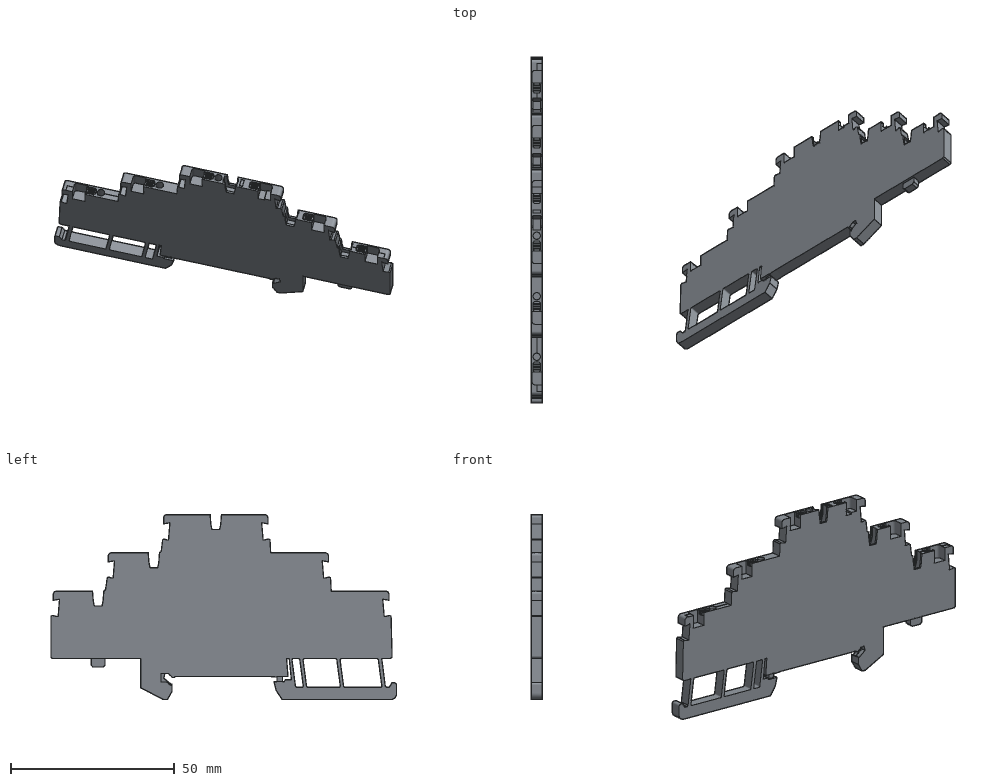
import cadquery as cq

THICKNESS = 3.5
HALF_LENGTH = 52.8
HEIGHT = 56.5
TIER_TOPS = [33.2, 44.9, HEIGHT]
BACK_TIPS = [52.1, 35.3, 18.4]
FRONT_TIPS = [-50.5, -32.0, -13.5]
BODY_BOTTOM = 12.6
BASE_BOTTOM = 7.1
FRONT_WALL = -51.5
EDGE_CHAMFER = 0.4
LOWER_CORNER_RADIUS = 0.7
BACK, FRONT = 1, -1

NOSE_RADIUS = 1.1
NOSE_HEIGHT = 2.9
NECK_TOP = 1.9
NECK_FOOT = 1.5
NECK_TOP_DROP = 2.5
NECK_FOOT_DROP = 7.7
SHOULDER_CHAMFER = 0.4
SHOULDER_DROP = 7.4
SHOULDER_REACH = 0.6
BACK_UPPER_SHOULDER_REACH = 0.3
TIER_WALL_LEAN = 0.2

GAP_EDGES = [40.1, 23.0, 4.1]
GAP_WIDTH = 3.4
GAP_STEP_DROP = 2.9
GAP_DEPTH = 4.5
GAP_UPPER_TAPER = 0.2
GAP_FLOOR_INSET = 0.5

PIT_LENGTH = 4.4
PIT_WIDTH = 2.2
PIT_DEPTH = 1.6
PIT_BACK_TAPER = 1.1
PIT_FRONT_TAPERS = [1.0, 1.0, 0]
PIT_OVERLAP = 0.3

ENTRY_START = 3.3
ENTRY_LENGTH = 3.9
ENTRY_DEPTH = 4.2
ENTRY_WALL = 0.3
ENTRY_CORNER = 0.8
LEDGE_LENGTH = 1.9
LEDGE_HEIGHT = 0.5
CLAMP_LENGTH = 3.1
CLAMP_WIDTH = 2.2
CLAMP_DEPTH = 1.3
CLAMP_CORNER = 0.4
RIB_COUNT = 3
RIB_WIDTH = 0.3
RIB_HEIGHT = 0.8
TEST_HOLE_OFFSET = 11.8
TEST_HOLE_DIAMETER = 2.2
TEST_HOLE_DEPTH = 4.2

RELIEF_START_X = 0.1
RELIEF_DEPTH = 0.1
RELIEF_TIP_OFFSET = 1.3

GROOVE_CENTRE = 5.7
GROOVE_LENGTH = 1.0
GROOVE_DEPTH = 0.2

TAB_CENTRE = 38.4
TAB_LENGTH = 4.3
TAB_WIDTH = 2.2
TAB_DROP = 2.6
TAB_CHAMFER = 0.6

RAIL_POCKET_DEPTH = THICKNESS / 2
WINDOW_FLOOR = 3.8
WINDOW_LEAN = 1.2
WINDOW_CORNER = 0.4
WINDOWS = [(-20.8, 2.3), (-24.2, 10.3), (-35.5, 11.6)]
STEM_CENTRE = -17.1
STEM_LENGTH = 1.8
STEM_WIDTH = 2.2
LATCH_TOP = 5.5
GRIP_TOP = 5.2
GRIP_TOP_RADIUS = 0.7
GRIP_BOTTOM_RADIUS = 1.9


def tier_end(tip, top, side, reach):
    """Hook points from the tier top down to the shoulder."""
    profile = [
        (0, 0),
        (0, -NOSE_HEIGHT),
        (NECK_TOP, -NECK_TOP_DROP),
        (NECK_FOOT, -NECK_FOOT_DROP),
        (NECK_FOOT - SHOULDER_CHAMFER, -NECK_FOOT_DROP),
        (-reach + SHOULDER_CHAMFER, -SHOULDER_DROP),
        (-reach, -NECK_FOOT_DROP),
    ]
    return [(tip - side * inward, top + rise) for inward, rise in profile]


def bridge_gap(edge, top):
    """Stepped gap from its +Y rim to its -Y rim."""
    far = edge - GAP_WIDTH
    step_z = top - GAP_STEP_DROP
    floor_z = top - GAP_DEPTH
    return [
        (edge, top),
        (edge - GAP_UPPER_TAPER, step_z),
        (edge - GAP_FLOOR_INSET, floor_z),
        (far + GAP_FLOOR_INSET, floor_z),
        (far + GAP_UPPER_TAPER, step_z),
        (far, top),
    ]


def back_outline():
    """Staircase on the +Y side, from the lowest corner up to the top tier."""
    points = [(HALF_LENGTH - EDGE_CHAMFER, BODY_BOTTOM), (HALF_LENGTH, BODY_BOTTOM + EDGE_CHAMFER)]
    reaches = [HALF_LENGTH - BACK_TIPS[0], BACK_UPPER_SHOULDER_REACH, BACK_UPPER_SHOULDER_REACH]
    for tip, top, reach, edge in zip(BACK_TIPS, TIER_TOPS, reaches, GAP_EDGES):
        points += reversed(tier_end(tip, top, BACK, reach))
        points += bridge_gap(edge, top)
        if top < HEIGHT:
            points.append((edge - GAP_WIDTH - GAP_FLOOR_INSET, top + EDGE_CHAMFER))
    return points


def step_root(tip):
    """Y of the inner corner at the foot of a -Y tier wall."""
    return tip - SHOULDER_REACH - TIER_WALL_LEAN


def front_outline():
    """Staircase on the -Y side, from the top tier down to the lowest corner."""
    points = []
    for tier in reversed(range(len(TIER_TOPS))):
        tip = FRONT_TIPS[tier]
        points += tier_end(tip, TIER_TOPS[tier], FRONT, SHOULDER_REACH)
        if tier > 0:
            points.append((step_root(tip), TIER_TOPS[tier - 1]))
    points.append((FRONT_WALL, BODY_BOTTOM))
    return points


LATCH_OUTLINE = [
    (-48.3, BODY_BOTTOM),
    (-49.4, WINDOW_FLOOR + WINDOW_CORNER),
    (-49.7, WINDOW_FLOOR),
    (-50.5, WINDOW_FLOOR),
    (-51.4, GRIP_TOP),
    (-HALF_LENGTH, GRIP_TOP),
    (-HALF_LENGTH, 0),
    (-17.9, 0),
    (-16.0, 2.9),
    (-15.3, LATCH_TOP),
    (-18.4, LATCH_TOP),
    (-18.8, 6.1),
    (-20.6, 6.1),
    (-20.0, BODY_BOTTOM),
    (-19.2, BODY_BOTTOM),
    (-19.7, BASE_BOTTOM),
]

CLAW_OUTLINE = [
    (-16.3, BASE_BOTTOM),
    (-16.3, 6.9),
    (-13.7, BASE_BOTTOM),
    (14.8, BASE_BOTTOM),
    (15.0, 6.8),
    (15.6, 6.8),
    (16.9, 7.9),
    (18.0, 7.9),
    (18.3, 6.5),
    (16.1, 4.8),
    (15.7, 4.9),
    (15.7, 2.5),
    (17.2, 0),
    (18.4, 0),
    (25.4, 3.6),
    (25.4, BODY_BOTTOM),
]

RAIL_POCKET = [(19.1, 7.9), (19.1, 5.4), (17.4, 5.4), (16.2, 4.3), (15.7, 4.9), (17.9, 7.9)]


def extrude_profile(points, start_x, depth):
    return cq.Workplane("YZ", origin=(start_x, 0, 0)).polyline(points).close().extrude(depth)


def box(x_range, y_range, z_range):
    """Box between two X, two Y and two Z positions."""
    spans = [high - low for low, high in (x_range, y_range, z_range)]
    corner = (x_range[0], y_range[0], z_range[0])
    return cq.Workplane("XY").box(*spans, centered=False).translate(corner)


def inward_range(tip, side, start, length):
    """Ordered Y range of a feature placed inward from a tier tip."""
    near = tip - side * start
    return sorted((near, near - side * length))


def centred(middle, span):
    return (middle - span / 2, middle + span / 2)


def wire_entry(tip, top, side):
    """Wire entry, open at the top and on the +X face."""
    x_range = (-THICKNESS / 2 + ENTRY_WALL, THICKNESS)
    entry = box(x_range, inward_range(tip, side, ENTRY_START, ENTRY_LENGTH), (top - ENTRY_DEPTH, top))
    outer_edge = "|Z and <X and >Y" if side == BACK else "|Z and <X and <Y"
    return entry.edges(outer_edge).fillet(ENTRY_CORNER)


def clamp_recess(tip, top, side):
    """Clamp recess with cross ribs left standing on its floor."""
    floor_z = top - CLAMP_DEPTH
    low, high = inward_range(tip, side, ENTRY_START + ENTRY_LENGTH, CLAMP_LENGTH)
    x_range = centred(0, CLAMP_WIDTH)
    recess = box(x_range, (low, high), (floor_z, top)).edges("|Z").chamfer(CLAMP_CORNER)
    rib_pitch = CLAMP_LENGTH / (RIB_COUNT + 1)
    for index in range(RIB_COUNT):
        middle = low + rib_pitch * (index + 1)
        recess = recess.cut(box(x_range, centred(middle, RIB_WIDTH), (floor_z, floor_z + RIB_HEIGHT)))
    return recess


def test_hole(tip, top):
    hole_y = tip + TEST_HOLE_OFFSET
    return (
        cq.Workplane("XY", origin=(0, hole_y, top - TEST_HOLE_DEPTH))
        .circle(TEST_HOLE_DIAMETER / 2)
        .extrude(TEST_HOLE_DEPTH)
    )


def bridge_pit(edge, top, front_taper):
    """Pit with upright upper walls and a tapered lower part."""
    high = edge + PIT_OVERLAP
    low = high - PIT_LENGTH
    taper_z = top - GAP_STEP_DROP
    floor_z = top - GAP_DEPTH - PIT_DEPTH
    profile = [
        (high, top),
        (high, taper_z),
        (high - PIT_BACK_TAPER, floor_z),
        (low + front_taper, floor_z),
        (low, taper_z),
        (low, top),
    ]
    return extrude_profile(profile, -PIT_WIDTH / 2, PIT_WIDTH)


def foot_window(edge, length):
    """Leaning window between the legs of the latch foot."""
    corners = [
        (edge, BODY_BOTTOM),
        (edge - length, BODY_BOTTOM),
        (edge - length - WINDOW_LEAN, WINDOW_FLOOR),
        (edge - WINDOW_LEAN, WINDOW_FLOOR),
    ]
    return extrude_profile(corners, -THICKNESS / 2, THICKNESS).edges("|X").fillet(WINDOW_CORNER)


outline = back_outline() + front_outline() + LATCH_OUTLINE + CLAW_OUTLINE
body = extrude_profile(outline, -THICKNESS / 2, THICKNESS)

rounded_corners = [(tip, top, NOSE_RADIUS) for tip, top in zip(BACK_TIPS + FRONT_TIPS, TIER_TOPS * 2)]
rounded_corners += [
    (FRONT_WALL, BODY_BOTTOM, LOWER_CORNER_RADIUS),
    (-HALF_LENGTH, GRIP_TOP, GRIP_TOP_RADIUS),
    (-HALF_LENGTH, 0, GRIP_BOTTOM_RADIUS),
]
for corner_y, corner_z, radius in rounded_corners:
    corner_edge = cq.selectors.NearestToPointSelector((0, corner_y, corner_z))
    body = body.edges(corner_edge).fillet(radius)

for window_edge, window_length in WINDOWS:
    body = body.cut(foot_window(window_edge, window_length))
body = body.cut(extrude_profile(RAIL_POCKET, -THICKNESS / 2, RAIL_POCKET_DEPTH))
stem = box(centred(0, STEM_WIDTH), centred(STEM_CENTRE, STEM_LENGTH), (LATCH_TOP, BASE_BOTTOM))
body = body.union(stem)

tab = box(centred(0, TAB_WIDTH), centred(TAB_CENTRE, TAB_LENGTH), (BODY_BOTTOM - TAB_DROP, BODY_BOTTOM))
body = body.union(tab.edges("|X and <Z").chamfer(TAB_CHAMFER))

relief_ranges = [
    (GAP_EDGES[0] - GAP_WIDTH, BACK_TIPS[0] - RELIEF_TIP_OFFSET),
    (FRONT_TIPS[0] + RELIEF_TIP_OFFSET, step_root(FRONT_TIPS[1])),
]
for relief_range in relief_ranges:
    relief_z = (TIER_TOPS[0] - RELIEF_DEPTH, TIER_TOPS[0])
    body = body.cut(box((RELIEF_START_X, THICKNESS / 2), relief_range, relief_z))

for tips, end_side in ((BACK_TIPS, BACK), (FRONT_TIPS, FRONT)):
    for tier_tip, tier_top in zip(tips, TIER_TOPS):
        body = body.cut(wire_entry(tier_tip, tier_top, end_side))
        body = body.cut(clamp_recess(tier_tip, tier_top, end_side))
for tier_tip, tier_top in zip(FRONT_TIPS, TIER_TOPS):
    body = body.cut(test_hole(tier_tip, tier_top))
for gap_edge, tier_top, pit_taper in zip(GAP_EDGES, TIER_TOPS, PIT_FRONT_TAPERS):
    body = body.cut(bridge_pit(gap_edge, tier_top, pit_taper))

ledge_z = HEIGHT - ENTRY_DEPTH
ledge = box(
    (-THICKNESS / 2, THICKNESS / 2),
    inward_range(BACK_TIPS[2], BACK, ENTRY_START, LEDGE_LENGTH),
    (ledge_z, ledge_z + LEDGE_HEIGHT),
)
body = body.union(ledge)

groove = box(centred(0, PIT_WIDTH), centred(GROOVE_CENTRE, GROOVE_LENGTH), (HEIGHT - GROOVE_DEPTH, HEIGHT))
result = body.cut(groove)